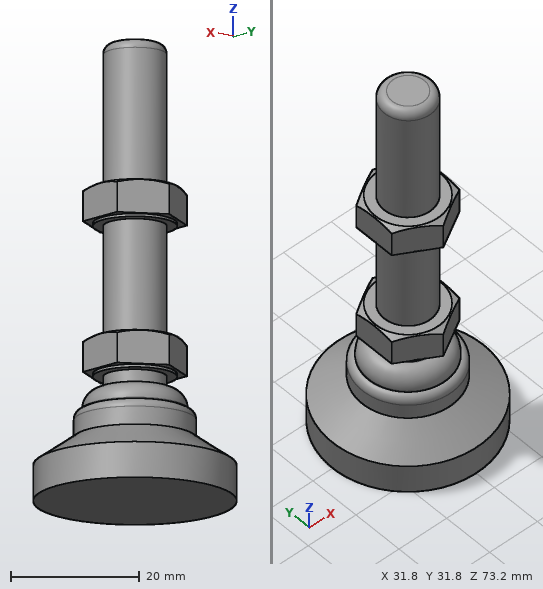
import cadquery as cq
import math


total_height = 73.15
base_radius = 15.9
rim_height = 5.7
collar_radius = 9.6
collar_bottom = 10.0
collar_top = 14.5
collar_fillet = 1.5

head_radius = 8.3
head_top = 17.85
head_fillet = 3.15
rod_radius = 5.0
rod_end_fillet = 1.6
socket_floor = collar_bottom

hex_across_flats = 14.3
hex_across_corners = hex_across_flats / math.cos(math.radians(30))
hex_height = 5.9
washer_face_height = 0.45
washer_face_radius = 6.6
hex_top_radius = 6.9
hex_chamfer_drop = 0.65
spindle_hex_bottom = 19.9
lock_nut_bottom = 44.0


def cylinder(radius, bottom, top):
    return cq.Workplane("XY").workplane(offset=bottom).circle(radius).extrude(top - bottom)


def make_hexagon(bottom):
    """Hexagon with two flats facing X, a round washer face below and a conical chamfer on top."""
    top = bottom + hex_height
    prism_bottom = bottom + washer_face_height
    corner_radius = hex_across_corners / 2
    prism = (
        cq.Workplane("XY")
        .workplane(offset=prism_bottom)
        .transformed(rotate=(0, 0, 90))
        .polygon(6, hex_across_corners)
        .extrude(top - prism_bottom)
    )
    chamfer_envelope = (
        cq.Workplane("XZ")
        .moveTo(0, prism_bottom)
        .lineTo(corner_radius, prism_bottom)
        .lineTo(corner_radius, top - hex_chamfer_drop)
        .lineTo(hex_top_radius, top)
        .lineTo(0, top)
        .close()
        .revolve(360, (0, 0, 0), (0, 1, 0))
    )
    washer_face = cylinder(washer_face_radius, bottom, prism_bottom)
    return prism.intersect(chamfer_envelope).union(washer_face)


def make_base():
    """Conical foot with a rounded collar and a round socket for the spindle head."""
    foot = (
        cq.Workplane("XZ")
        .lineTo(base_radius, 0)
        .lineTo(base_radius, rim_height)
        .lineTo(collar_radius, collar_bottom)
        .lineTo(collar_radius, collar_top)
        .lineTo(0, collar_top)
        .close()
        .revolve(360, (0, 0, 0), (0, 1, 0))
        .faces(">Z")
        .edges()
        .fillet(collar_fillet)
    )
    socket = cylinder(head_radius, socket_floor, collar_top)
    return foot.cut(socket)


def make_spindle():
    """Rod with a rounded tip, a rounded head seated in the socket and a fixed hexagon."""
    head = cylinder(head_radius, socket_floor, head_top).faces(">Z").edges().fillet(head_fillet)
    rod = cylinder(rod_radius, head_top, total_height).faces(">Z").edges().fillet(rod_end_fillet)
    return head.union(rod).union(make_hexagon(spindle_hex_bottom))


def make_lock_nut():
    """Loose hexagon nut bored to fit the rod."""
    bore = cylinder(rod_radius, lock_nut_bottom, lock_nut_bottom + hex_height)
    return make_hexagon(lock_nut_bottom).cut(bore)


base = make_base()
spindle = make_spindle()
lock_nut = make_lock_nut()

result = cq.Compound.makeCompound([base.val(), spindle.val(), lock_nut.val()])